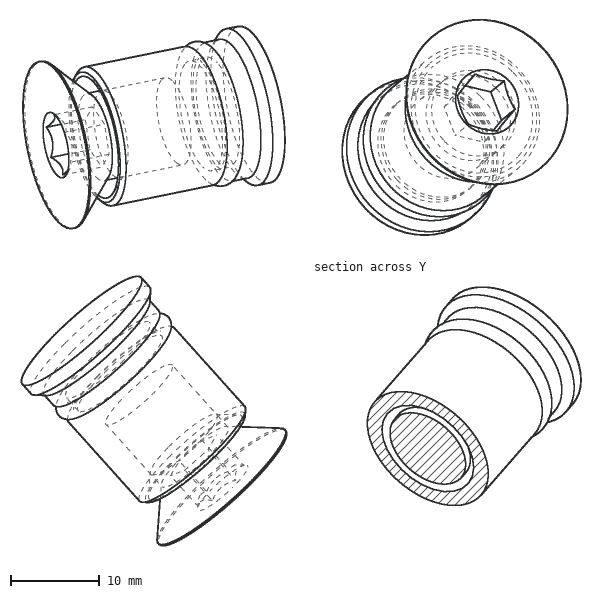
import cadquery as cq
import math

LENGTH = 24.2
HEAD_FACE_Y = -LENGTH / 2
FLANGE_FACE_Y = LENGTH / 2

SLEEVE_LENGTH = 19.51
SLEEVE_RADIUS = 8.0
FLANGE_RADIUS = 9.0
FLANGE_RIM = 1.5
MOUTH_CHAMFER = 0.5
SEAT_RADIUS = 7.0
BORE_DEPTH = 9.68

RING_SECTION_RADIUS = 1.0
RING_OUTER_RADIUS = 8.3
RING_SETBACK = 5.5
GROOVE_WIDTH = 2.08
GROOVE_EDGE_RADIUS = 0.35

HEAD_RADIUS = 9.6
HEAD_RIM = 0.2
SHANK_RADIUS = 5.0
HEX_ACROSS_FLATS = 6.0
HEX_DEPTH = 5.0
HEX_TURN = -8.0
SOCKET_MOUTH_RADIUS = 3.75
SOCKET_CONE_ANGLE = 45.0

sleeve_mouth_y = FLANGE_FACE_Y - SLEEVE_LENGTH
seat_end_y = sleeve_mouth_y + SEAT_RADIUS - SHANK_RADIUS
bore_floor_y = sleeve_mouth_y + BORE_DEPTH
ring_y = FLANGE_FACE_Y - RING_SETBACK
ring_center_radius = RING_OUTER_RADIUS - RING_SECTION_RADIUS
groove_floor_radius = ring_center_radius - RING_SECTION_RADIUS


def revolve_about_y(profile):
    """Close an XY profile and turn it a full revolution about the Y axis."""
    return profile.close().revolve(360, (0, 0, 0), (0, 1, 0))


def make_sleeve():
    """Flanged sleeve with a countersunk blind bore for the screw and a groove for the O-ring."""
    flange_back_y = FLANGE_FACE_Y - FLANGE_RIM
    taper = FLANGE_RADIUS - SLEEVE_RADIUS
    groove_front_y = ring_y - GROOVE_WIDTH / 2
    groove_back_y = ring_y + GROOVE_WIDTH / 2
    edge_center_radius = SLEEVE_RADIUS - GROOVE_EDGE_RADIUS
    arc_offset = GROOVE_EDGE_RADIUS * (1 - math.sqrt(0.5))
    arc_radius = SLEEVE_RADIUS - arc_offset

    profile = (
        cq.Workplane("XY")
        .moveTo(0, FLANGE_FACE_Y)
        .lineTo(FLANGE_RADIUS, FLANGE_FACE_Y)
        .lineTo(FLANGE_RADIUS, flange_back_y)
        .lineTo(SLEEVE_RADIUS, flange_back_y - taper)
        .lineTo(SLEEVE_RADIUS, groove_back_y + GROOVE_EDGE_RADIUS)
        .threePointArc((arc_radius, groove_back_y + arc_offset), (edge_center_radius, groove_back_y))
        .lineTo(groove_floor_radius, groove_back_y)
        .lineTo(groove_floor_radius, groove_front_y)
        .lineTo(edge_center_radius, groove_front_y)
        .threePointArc(
            (arc_radius, groove_front_y - arc_offset),
            (SLEEVE_RADIUS, groove_front_y - GROOVE_EDGE_RADIUS),
        )
        .lineTo(SLEEVE_RADIUS, sleeve_mouth_y + MOUTH_CHAMFER)
        .lineTo(SLEEVE_RADIUS - MOUTH_CHAMFER, sleeve_mouth_y)
        .lineTo(SEAT_RADIUS, sleeve_mouth_y)
        .lineTo(SHANK_RADIUS, seat_end_y)
        .lineTo(SHANK_RADIUS, bore_floor_y)
        .lineTo(0, bore_floor_y)
    )
    return revolve_about_y(profile)


def make_o_ring():
    """Round-section ring resting on the groove floor."""
    section = cq.Workplane("XY").center(ring_center_radius, ring_y).circle(RING_SECTION_RADIUS)
    return section.revolve(360, (-ring_center_radius, 0, 0), (-ring_center_radius, 1, 0))


def make_hex_socket():
    """Cutter for the hexagonal socket and the cone that opens its mouth."""
    hex_corner_diameter = HEX_ACROSS_FLATS / math.cos(math.radians(30))
    hexagon = (
        cq.Workplane("XZ", origin=(0, HEAD_FACE_Y, 0))
        .polygon(6, hex_corner_diameter)
        .extrude(-HEX_DEPTH)
        .rotate((0, 0, 0), (0, 1, 0), -HEX_TURN)
    )
    cone_depth = SOCKET_MOUTH_RADIUS / math.tan(math.radians(SOCKET_CONE_ANGLE))
    cone = revolve_about_y(
        cq.Workplane("XY")
        .moveTo(0, HEAD_FACE_Y)
        .lineTo(SOCKET_MOUTH_RADIUS, HEAD_FACE_Y)
        .lineTo(0, HEAD_FACE_Y + cone_depth)
    )
    return hexagon.union(cone)


def make_screw():
    """Countersunk screw whose shank fills the sleeve's bore."""
    cone_start_y = HEAD_FACE_Y + HEAD_RIM
    cone_end_y = cone_start_y + HEAD_RADIUS - SHANK_RADIUS
    blank = revolve_about_y(
        cq.Workplane("XY")
        .moveTo(0, HEAD_FACE_Y)
        .lineTo(HEAD_RADIUS, HEAD_FACE_Y)
        .lineTo(HEAD_RADIUS, cone_start_y)
        .lineTo(SHANK_RADIUS, cone_end_y)
        .lineTo(SHANK_RADIUS, bore_floor_y)
        .lineTo(0, bore_floor_y)
    )
    return blank.cut(make_hex_socket())


sleeve = make_sleeve()
o_ring = make_o_ring()
screw = make_screw()

result = cq.Compound.makeCompound([sleeve.val(), o_ring.val(), screw.val()])